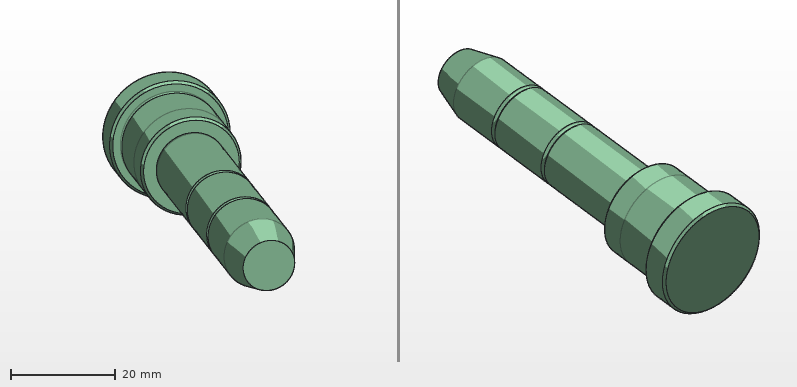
import cadquery as cq
import math

total_length = 77.0
head_diameter = 24.0
collar_diameter = 20.0
shaft_diameter = 14.0

head_end = 6.0
collar_start = 7.0
collar_split = 15.8
collar_end = 21.0
edge_chamfer = 0.5

neck_depth = 0.5

root_band_length = 0.5

groove_width = 1.0
groove_depth = 0.5
last_groove_x = 58.0
groove_pitch = 15.0

tip_length = 7.0
tip_angle = 15.0
tip_radius = shaft_diameter / 2 - tip_length * math.tan(math.radians(tip_angle))


def cylinder(start, end, diameter):
    """Solid cylinder along X from start to end."""
    return cq.Workplane("YZ", origin=(start, 0, 0)).circle(diameter / 2).extrude(end - start)


def ring_groove(center_x, width, depth, diameter):
    """Ring cutter with an arc-shaped bottom for a cylinder along X."""
    surface = diameter / 2
    return (
        cq.Workplane("XY")
        .moveTo(center_x - width / 2, surface)
        .threePointArc((center_x, surface - depth), (center_x + width / 2, surface))
        .close()
        .revolve(360, (0, 0, 0), (1, 0, 0))
    )


head = cylinder(0, head_end, head_diameter).edges().chamfer(edge_chamfer)
neck = cylinder(head_end, collar_start, collar_diameter)
neck = neck.cut(
    ring_groove((head_end + collar_start) / 2, collar_start - head_end, neck_depth, collar_diameter)
)
rear_collar = cylinder(collar_start, collar_split, collar_diameter)
front_collar = cylinder(collar_split, collar_end, collar_diameter)
front_collar = front_collar.faces(">X").edges().chamfer(edge_chamfer)

root_band = cylinder(collar_end, collar_end + root_band_length, shaft_diameter)
shaft = cylinder(collar_end + root_band_length, total_length - tip_length, shaft_diameter)
for groove_x in (last_groove_x - groove_pitch, last_groove_x):
    shaft = shaft.cut(ring_groove(groove_x, groove_width, groove_depth, shaft_diameter))

tip = (
    cq.Workplane("XY")
    .polyline([
        (total_length - tip_length, 0),
        (total_length - tip_length, shaft_diameter / 2),
        (total_length, tip_radius),
        (total_length, 0),
    ])
    .close()
    .revolve(360, (0, 0, 0), (1, 0, 0))
)

result = head
for section in (neck, rear_collar, front_collar, root_band, shaft, tip):
    result = result.union(section, clean=False)